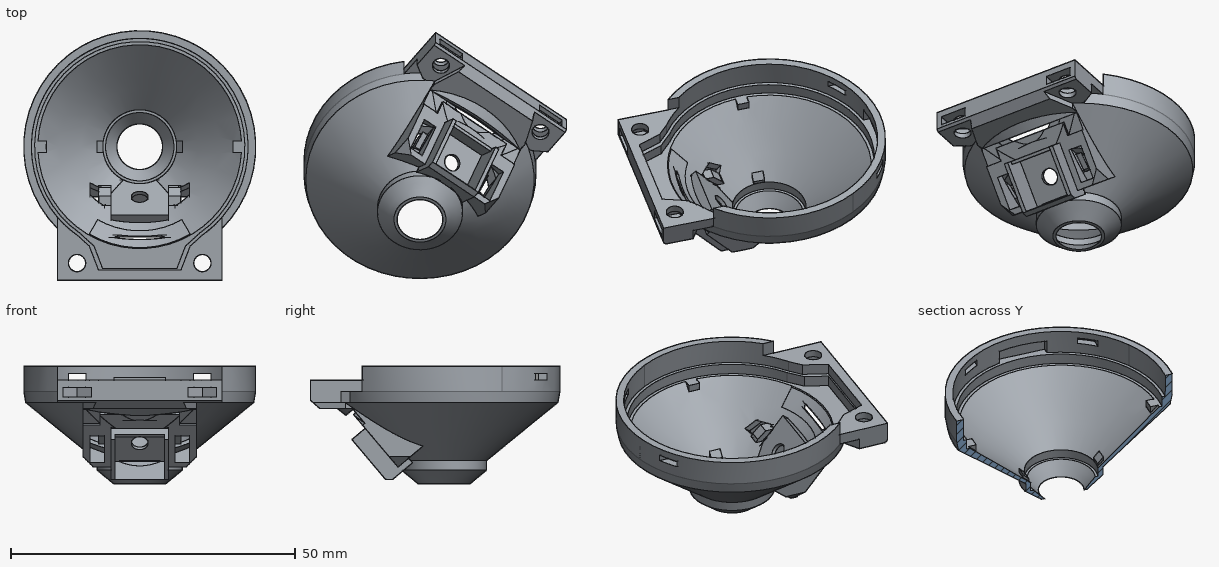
import cadquery as cq
import math

TOTAL_HEIGHT = 20.75
PLATE_TOP = 18.27
RIM_STEP = 16.3
CONE_TOP = 14.3
BLOCK_BOTTOM = 13.25
CONE_BOTTOM = 4.1
COLLAR_BOTTOM = 2.4

RIM_RADIUS = 20.43
TAPER_RADIUS = 20.08
COLLAR_RADIUS = 15.0 / 2
FOOT_RADIUS = 4.55
RIM_BORE_RADIUS = 19.05
LEDGE_BORE_RADIUS = 18.5
REFLECTOR_RADIUS = 17.92
COLLAR_BORE_RADIUS = 13.0 / 2
CUP_RADIUS = 6.0
OUTLET_RADIUS = 4.0

PLATE_FRONT = -23.5
PLATE_HALF = 14.5
PLATE_CORNER_Y = -18.1
RELIEF_POINT = (12.0, -16.5)
BLOCK_SHOULDER_Y = -17.3
BLOCK_TIP_HALF = 7.55
BEVEL_TOP = 14.7
BEVEL_BACK = -21.88
POCKET_SHOULDER_Y = -17.5
POCKET_START = (14.5, -12.35)
POCKET_SHOULDER_HALF = 8.87
POCKET_FRONT = (7.25, -21.7)
INNER_POCKET_START = (13.6, -12.4)
INNER_POCKET_SHOULDER_HALF = 8.05
INNER_POCKET_FRONT = (6.55, -21.4)
SCREW_DIAMETER = 3.0
SCREW_X = 11.03
SCREW_Y = -20.45
NUT_WIDTH = 5.0
HEX_HALF_ANGLE = math.pi / 6
NUT_BOTTOM = 15.3
NUT_TOP = 17.0

WINDOW_NEAR = 9.5
WINDOW_FAR = 12.5
WINDOW_BOTTOM = 18.3
WINDOW_TOP = 19.4
RECESS_WIDTH = 9.0
RECESS_BACK = 19.7
RECESS_TOP = 18.75
TAB_WIDTH = 2.05
UPPER_TAB_INNER = 16.45
UPPER_TAB_BOTTOM = 13.0
LOWER_TAB_OUTER = 7.55
LOWER_TAB_LOW = 4.6
LOWER_TAB_HIGH = 5.8

FACE_ANGLE = 49.8
FACE_Y = -13.9
FACE_Z = 9.8
WING_HALF = 10.0
WING_BOTTOM_U = -8.95
PAD_HALF = 7.05
PAD_TOP_U = 3.15
SLOT_TOP_U = 3.9
NOTCH_BOTTOM_U = 0.7
NOTCH_DEPTH = 0.53
WING_DEPTH = 11.0
WING_BEVEL_Z = 4.85
WING_WINDOW_NEAR = 6.25
WING_WINDOW_FAR = 8.75
WING_WINDOW_LOW_U = -7.85
WING_WINDOW_HIGH_U = -1.75
CONE_WINDOW_LOW_U = -6.3
CONE_WINDOW_TOP_Z = 9.15
BOX_HALF = 5.05
BOX_BOTTOM_U = -10.0
BOX_INNER_N = -2.45
BOX_OUTER_N = 3.08
BOX_LOWEST_Z = 0.75
CAVITY_HALF = 4.35
CAVITY_FLOOR_U = -9.2
CAVITY_ROOF_U = -0.55
CAVITY_BACK_N = -1.75
LIP_N = 1.65
LAMP_HOLE_DIAMETER = 3.0
LAMP_HOLE_U = -4.9

CLIP_OUTER_X = 7.25
CLIP_PROFILE = [(-10.35, 9.0), (-8.7, 9.0), (-7.15, 7.6), (-6.85, 7.05), (-8.0, 7.05)]
PATCH_INNER_RADIUS = 14.8
PATCH_OUTER_RADIUS = 17.75
PATCH_SPAN = 60.0
PATCH_THICKNESS = 0.45

REACH = 26.35
SEAM_ANGLE = 30.0


def block(x_range, y_range, z_range):
    """Upright box between the given limits."""
    sizes = [high - low for low, high in (x_range, y_range, z_range)]
    return cq.Workplane("XY").box(*sizes, centered=False).translate((x_range[0], y_range[0], z_range[0]))


def on_face(solid):
    """Carry a solid from X, Y, Z to X, u, n of the bracket's tilted mounting face."""
    return solid.rotate((0, 0, 0), (1, 0, 0), 180 - FACE_ANGLE).translate((0, FACE_Y, FACE_Z))


def tilted_block(x_range, u_range, n_range):
    """Box laid out on the bracket's tilted mounting face."""
    return on_face(block(x_range, u_range, n_range))


def revolved(profile, start=SEAM_ANGLE, span=360.0):
    """Solid of revolution about Z from (radius, height) points, swept from a start angle."""
    solid = cq.Workplane("XZ").polyline(profile).close().revolve(span, (0, 0, 0), (0, 1, 0))
    return solid.rotate((0, 0, 0), (0, 0, 1), start)


def prism(outline, bottom, top):
    """Upright prism from plan points."""
    return cq.Workplane("XY").workplane(offset=bottom).polyline(outline).close().extrude(top - bottom)


def symmetric(right_half):
    """Plan outline completed by its mirror image about X = 0."""
    return right_half + [(-x, y) for x, y in reversed(right_half)]


def side_profile(points, x_low, x_high):
    """Prism along X from (y, z) points."""
    plane = cq.Workplane("YZ").workplane(offset=x_low)
    return plane.polyline(points).close().extrude(x_high - x_low)


def both_sides(solid):
    """The solid together with its mirror image about X = 0."""
    return solid.union(solid.mirror("YZ"))


def reflector_height(radius):
    """Height of the inner cone surface at a radius."""
    slope = (CONE_TOP - CONE_BOTTOM) / (REFLECTOR_RADIUS - COLLAR_BORE_RADIUS)
    return CONE_BOTTOM + (radius - COLLAR_BORE_RADIUS) * slope


foot_outline = [
    (0, 0),
    (FOOT_RADIUS, 0),
    (COLLAR_RADIUS, COLLAR_BOTTOM),
    (COLLAR_RADIUS, CONE_BOTTOM),
]
foot_envelope = revolved(foot_outline + [(0, CONE_BOTTOM)])
round_envelope = revolved(foot_outline + [
    (TAPER_RADIUS, CONE_TOP),
    (RIM_RADIUS, RIM_STEP),
    (RIM_RADIUS, TOTAL_HEIGHT),
    (0, TOTAL_HEIGHT),
])


def interior():
    """Hollow of the cup, the reflector and the stepped rim."""
    return revolved([
        (0, 0),
        (OUTLET_RADIUS, 0),
        (CUP_RADIUS, COLLAR_BOTTOM),
        (COLLAR_BORE_RADIUS, COLLAR_BOTTOM),
        (COLLAR_BORE_RADIUS, CONE_BOTTOM),
        (REFLECTOR_RADIUS, CONE_TOP),
        (LEDGE_BORE_RADIUS, CONE_TOP),
        (LEDGE_BORE_RADIUS, RIM_STEP),
        (RIM_BORE_RADIUS, RIM_STEP),
        (RIM_BORE_RADIUS, TOTAL_HEIGHT),
        (0, TOTAL_HEIGHT),
    ])


def mounting_plate():
    """Front plate with a relieved lower half, a thick middle and a bevelled lower front edge."""
    upper = block((-PLATE_HALF, PLATE_HALF), (PLATE_FRONT, 0), (RIM_STEP, PLATE_TOP))
    lower_half_outline = [
        (PLATE_HALF, PLATE_FRONT),
        (PLATE_HALF, PLATE_CORNER_Y),
        RELIEF_POINT,
    ]
    lower = prism(symmetric(lower_half_outline), CONE_TOP, RIM_STEP)
    block_half_outline = [
        (BLOCK_TIP_HALF, PLATE_FRONT),
        (WING_HALF, BLOCK_SHOULDER_Y),
        (WING_HALF, FACE_Y),
    ]
    middle = prism(symmetric(block_half_outline), BLOCK_BOTTOM, CONE_TOP)
    bevel = side_profile(
        [(PLATE_FRONT, BEVEL_TOP), (BEVEL_BACK, BLOCK_BOTTOM), (PLATE_FRONT, BLOCK_BOTTOM)],
        -PLATE_HALF, PLATE_HALF,
    )
    return upper.union(lower).union(middle).cut(bevel)


def plate_pockets():
    """Stepped recess in the plate that continues the bores of the rim."""
    outer = [POCKET_START, (POCKET_SHOULDER_HALF, POCKET_SHOULDER_Y), POCKET_FRONT]
    inner = [INNER_POCKET_START, (INNER_POCKET_SHOULDER_HALF, POCKET_SHOULDER_Y), INNER_POCKET_FRONT]
    upper = prism(symmetric(outer), RIM_STEP, PLATE_TOP)
    return upper.union(prism(symmetric(inner), CONE_TOP, RIM_STEP))


def screw_and_nut():
    """Vertical screw hole crossed by a nut slot that opens at the front of the plate."""
    radius = SCREW_DIAMETER / 2
    hole = cq.Workplane("XY").center(SCREW_X, SCREW_Y).circle(radius).extrude(TOTAL_HEIGHT)
    half = NUT_WIDTH / 2
    corner_y = SCREW_Y + half * math.tan(HEX_HALF_ANGLE)
    tip_y = SCREW_Y + half / math.cos(HEX_HALF_ANGLE)
    outline = [
        (SCREW_X - half, PLATE_FRONT),
        (SCREW_X + half, PLATE_FRONT),
        (SCREW_X + half, corner_y),
        (SCREW_X, tip_y),
        (SCREW_X - half, corner_y),
    ]
    slot = prism(outline, NUT_BOTTOM, NUT_TOP)
    return hole.union(slot)


def rim_openings():
    """Front gap above the plate, two rear windows and the inner recess at the back."""
    gap = block((-PLATE_HALF, PLATE_HALF), (-REACH, 0), (PLATE_TOP, TOTAL_HEIGHT))
    window = block((WINDOW_NEAR, WINDOW_FAR), (0, REACH), (WINDOW_BOTTOM, WINDOW_TOP))
    recess = block((-RECESS_WIDTH / 2, RECESS_WIDTH / 2), (0, RECESS_BACK), (RIM_STEP, RECESS_TOP))
    return gap.union(both_sides(window)).union(recess)


def reflector_tabs():
    """Pairs of tabs at the top and the bottom of the reflector."""
    half = TAB_WIDTH / 2
    upper = block((UPPER_TAB_INNER, LEDGE_BORE_RADIUS), (-half, half), (UPPER_TAB_BOTTOM, CONE_TOP))
    lower_profile = [
        (COLLAR_BORE_RADIUS, CONE_BOTTOM),
        (COLLAR_BORE_RADIUS, LOWER_TAB_LOW),
        (LOWER_TAB_OUTER, LOWER_TAB_HIGH),
        (LOWER_TAB_OUTER, CONE_BOTTOM),
    ]
    lower = cq.Workplane("XZ").polyline(lower_profile).close().extrude(half, both=True)
    return both_sides(upper.union(lower).intersect(round_envelope))


wing_range = (-WING_HALF, WING_HALF)
pad_range = (-PAD_HALF, PAD_HALF)
slot = tilted_block(wing_range, (NOTCH_BOTTOM_U, SLOT_TOP_U), (-NOTCH_DEPTH, REACH))
face_slot = slot.cut(tilted_block(pad_range, (NOTCH_BOTTOM_U, PAD_TOP_U), (-NOTCH_DEPTH, 0)))
face_cut = tilted_block(wing_range, (WING_BOTTOM_U, NOTCH_BOTTOM_U), (0, REACH)).union(face_slot)
window_range = (WING_WINDOW_NEAR, WING_WINDOW_FAR)
window_depth = (-WING_DEPTH, 0)
wing_windows = both_sides(tilted_block(window_range, (WING_WINDOW_LOW_U, WING_WINDOW_HIGH_U), window_depth))
above_window = block((-REACH, REACH), (-REACH, REACH), (CONE_WINDOW_TOP_Z, TOTAL_HEIGHT))
cone_windows = both_sides(
    tilted_block(window_range, (CONE_WINDOW_LOW_U, 0), window_depth)).cut(above_window)

box_body = tilted_block((-BOX_HALF, BOX_HALF), (BOX_BOTTOM_U, 0), (BOX_INNER_N, BOX_OUTER_N))
cavity_range = (-CAVITY_HALF, CAVITY_HALF)
cavity_room = tilted_block(cavity_range, (CAVITY_FLOOR_U, CAVITY_ROOF_U), (CAVITY_BACK_N, BOX_OUTER_N))
above_lip = tilted_block(cavity_range, (CAVITY_ROOF_U, 0), (LIP_N, BOX_OUTER_N))
box_cavity = cavity_room.union(above_lip)


def make_clip(side):
    """Hooked clip beside the box, on the +X side for 1 and the -X side for -1."""
    clip = side_profile(CLIP_PROFILE, BOX_HALF, CLIP_OUTER_X)
    return clip if side > 0 else clip.mirror("YZ")


def make_patch():
    """Sector of the reflector surface that lies flush in a shallow recess."""
    low = reflector_height(PATCH_INNER_RADIUS)
    high = reflector_height(PATCH_OUTER_RADIUS)
    slope = math.atan2(high - low, PATCH_OUTER_RADIUS - PATCH_INNER_RADIUS)
    out = PATCH_THICKNESS * math.sin(slope)
    down = PATCH_THICKNESS * math.cos(slope)
    profile = [
        (PATCH_INNER_RADIUS, low),
        (PATCH_OUTER_RADIUS, high),
        (PATCH_OUTER_RADIUS + out, high - down),
        (PATCH_INNER_RADIUS + out, low - down),
    ]
    return revolved(profile, -90 - PATCH_SPAN / 2, PATCH_SPAN).cut(face_cut)


def make_bracket(clips):
    """Wings against the outside of the cone and the open lamp box between them."""
    wings = tilted_block(wing_range, (WING_BOTTOM_U, SLOT_TOP_U), (-WING_DEPTH, 0))
    corner = cq.Workplane("XZ").polyline([
        (WING_HALF, WING_BEVEL_Z),
        (WING_HALF - WING_BEVEL_Z, 0),
        (WING_HALF, 0),
    ]).close().extrude(REACH)
    wings = wings.cut(both_sides(corner)).cut(round_envelope).cut(face_slot).cut(wing_windows)

    below_box = block((-BOX_HALF, BOX_HALF), (-REACH, 0), (0, BOX_LOWEST_Z))
    collar_bore = cq.Workplane("XY").circle(COLLAR_BORE_RADIUS).extrude(TOTAL_HEIGHT)
    box = box_body.cut(below_box).cut(foot_envelope).cut(collar_bore)
    hole = cq.Workplane("XY").center(0, LAMP_HOLE_U).circle(LAMP_HOLE_DIAMETER / 2)
    lamp_hole = on_face(hole.extrude(REACH, both=True))
    bracket = wings.union(box).cut(box_cavity).cut(lamp_hole)
    for clip in clips:
        bracket = bracket.cut(clip)
    return bracket


def make_housing(clips, patch):
    """Reflector housing with its rim and mounting plate, opened to receive the other bodies."""
    shell = round_envelope.cut(interior()).union(reflector_tabs())
    shell = shell.cut(face_cut).cut(cone_windows)
    shell = shell.cut(box_body.cut(foot_envelope)).cut(box_cavity).cut(patch)
    for clip in clips:
        shell = shell.cut(clip)
    plate = mounting_plate().cut(interior()).cut(patch)
    housing = shell.union(plate).cut(plate_pockets())
    return housing.cut(rim_openings()).cut(both_sides(screw_and_nut()))


clips = [make_clip(side) for side in (1, -1)]
patch = make_patch()
bracket = make_bracket(clips)
housing = make_housing(clips, patch)

bodies = [housing, bracket, patch, *clips]
result = cq.Compound.makeCompound([body.solids().val() for body in bodies])